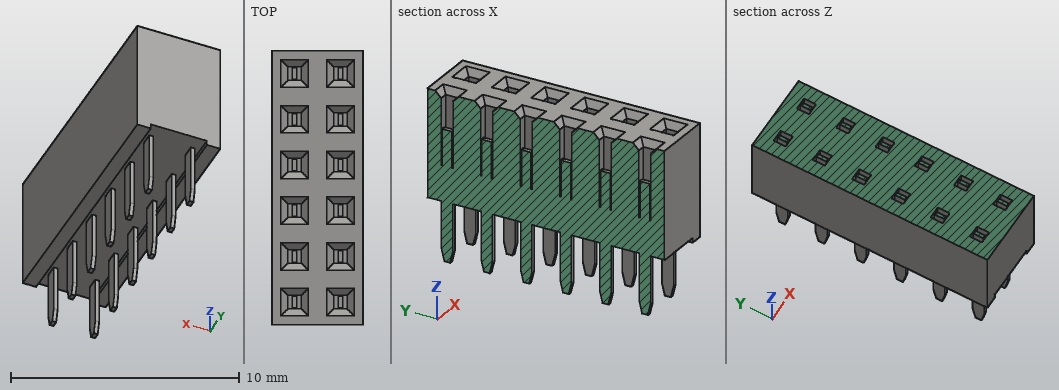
import cadquery as cq

ROWS = 6
COLUMNS = 2
LENGTH = 12.0
PITCH = LENGTH / ROWS

WIDTH = COLUMNS * PITCH
HEIGHT = 5.6
FOOT_WIDTH = 0.65
FOOT_HEIGHT = 0.23

MOUTH_SIZE = 1.2
SOCKET_SIZE = 0.59
FUNNEL_DEPTH = (MOUTH_SIZE - SOCKET_SIZE) / 2
SOCKET_DEPTH = 3.6

PIN_LENGTH = 2.7
PIN_THICKNESS = 0.19
PIN_WIDTH = 0.6
TIP_WIDTH = 0.3
TIP_LENGTH = 0.6
CONTACT_WIDTH = 0.5
CONTACT_HEIGHT = 1.8

SOCKET_FLOOR = HEIGHT - SOCKET_DEPTH


def at_each_position(solid):
    """Copies of one solid at every position of the socket grid."""
    grid = cq.Workplane("XY").rarray(PITCH, PITCH, COLUMNS, ROWS)
    return grid.eachpoint(lambda place: solid.val().moved(place), combine=False)


def make_housing():
    """Block with a channel along its underside that leaves a foot on each side."""
    block = cq.Workplane("XY").box(WIDTH, LENGTH, HEIGHT, centered=(True, True, False))
    channel_width = WIDTH - 2 * FOOT_WIDTH
    channel = cq.Workplane("XY").box(channel_width, LENGTH, FOOT_HEIGHT, centered=(True, True, False))
    return block.cut(channel)


def make_socket():
    """Square blind hole with a tapered mouth."""
    hole = (
        cq.Workplane("XY")
        .workplane(offset=SOCKET_FLOOR)
        .rect(SOCKET_SIZE, SOCKET_SIZE)
        .extrude(SOCKET_DEPTH)
    )
    funnel = (
        cq.Workplane("XY")
        .workplane(offset=HEIGHT - FUNNEL_DEPTH)
        .rect(SOCKET_SIZE, SOCKET_SIZE)
        .workplane(offset=FUNNEL_DEPTH)
        .rect(MOUTH_SIZE, MOUTH_SIZE)
        .loft(ruled=True)
    )
    return hole.union(funnel)


def make_pin():
    """Flat pin: pointed solder tail below, narrower contact standing on the socket floor."""
    tail = [
        (-TIP_WIDTH / 2, -PIN_LENGTH),
        (TIP_WIDTH / 2, -PIN_LENGTH),
        (PIN_WIDTH / 2, TIP_LENGTH - PIN_LENGTH),
        (PIN_WIDTH / 2, SOCKET_FLOOR),
    ]
    contact_top = SOCKET_FLOOR + CONTACT_HEIGHT
    contact = [
        (CONTACT_WIDTH / 2, SOCKET_FLOOR),
        (CONTACT_WIDTH / 2, contact_top),
        (-CONTACT_WIDTH / 2, contact_top),
        (-CONTACT_WIDTH / 2, SOCKET_FLOOR),
    ]
    other_side = [
        (-PIN_WIDTH / 2, SOCKET_FLOOR),
        (-PIN_WIDTH / 2, TIP_LENGTH - PIN_LENGTH),
    ]
    outline = cq.Workplane("YZ").polyline(tail + contact + other_side).close()
    return outline.extrude(PIN_THICKNESS / 2, both=True)


sockets = at_each_position(make_socket())
pins = at_each_position(make_pin())
result = make_housing().cut(sockets).union(pins)